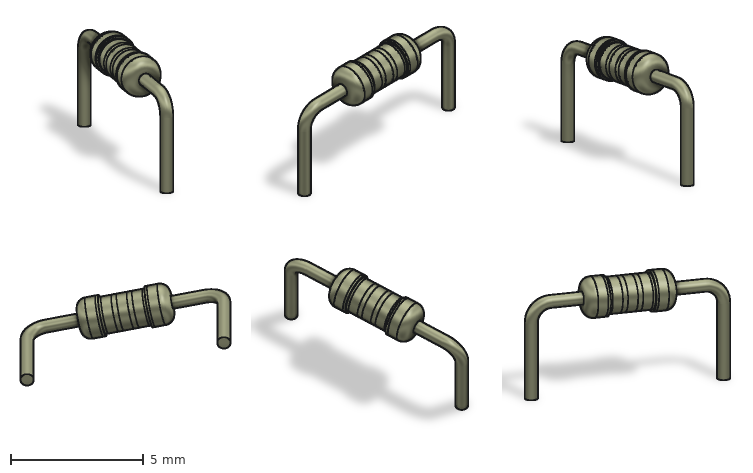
import cadquery as cq

overall_length = 8.12
overall_height = 4.6

wire_diameter = 0.5
bend_radius = 0.75

body_length = 3.605
core_length = 1.8
core_diameter = 1.44
cap_diameter = 1.6
cap_rounding = 0.4

band_width = 0.4
band_pitch = 0.6
band_depth = 0.05
core_band_steps = (-1, 0, 1)
cap_band_step = 2

leg_x = (overall_length - wire_diameter) / 2
leg_bottom = cap_diameter / 2 - overall_height
cap_length = (body_length - core_length) / 2


def cylinder_along_x(diameter, start_x, length):
    """Solid cylinder on the resistor axis, from start_x towards +X."""
    return cq.Workplane("YZ", origin=(start_x, 0, 0)).circle(diameter / 2).extrude(length)


def make_wire():
    """Round wire with both ends bent down into legs."""
    path = (
        cq.Workplane("XZ")
        .moveTo(-leg_x, leg_bottom)
        .lineTo(-leg_x, -bend_radius)
        .radiusArc((-leg_x + bend_radius, 0), bend_radius)
        .lineTo(leg_x - bend_radius, 0)
        .radiusArc((leg_x, -bend_radius), bend_radius)
        .lineTo(leg_x, leg_bottom)
    )
    profile = cq.Workplane("XY", origin=(-leg_x, 0, leg_bottom)).circle(wire_diameter / 2)
    return profile.sweep(path)


def make_band(step, outer_diameter):
    """Thin ring centred the given number of pitches from the middle."""
    start_x = step * band_pitch - band_width / 2
    ring = cylinder_along_x(outer_diameter, start_x, band_width)
    inside = cylinder_along_x(outer_diameter - 2 * band_depth, start_x, band_width)
    return ring.cut(inside)


def make_core(wire, bands):
    """Slim middle of the resistor, with a wire hole and band grooves."""
    core = cylinder_along_x(core_diameter, -core_length / 2, core_length).cut(wire)
    for band in bands:
        core = core.cut(band)
    return core


def make_cap(side, wire, band):
    """End cap with a rounded outer rim; side is -1 for -X and 1 for +X."""
    outer_face = ">X" if side > 0 else "<X"
    cap = cylinder_along_x(cap_diameter, side * core_length / 2, side * cap_length)
    cap = cap.faces(outer_face).edges().fillet(cap_rounding)
    return cap.cut(wire).cut(band)


wire = make_wire()
core_bands = [make_band(step, core_diameter) for step in core_band_steps]
core = make_core(wire, core_bands)

cap_bands = []
caps = []
for side in (-1, 1):
    cap_band = make_band(side * cap_band_step, cap_diameter)
    cap_bands.append(cap_band)
    caps.append(make_cap(side, wire, cap_band))

bodies = [wire, core, *caps, *core_bands, *cap_bands]
result = cq.Compound.makeCompound([body.solids().val() for body in bodies])